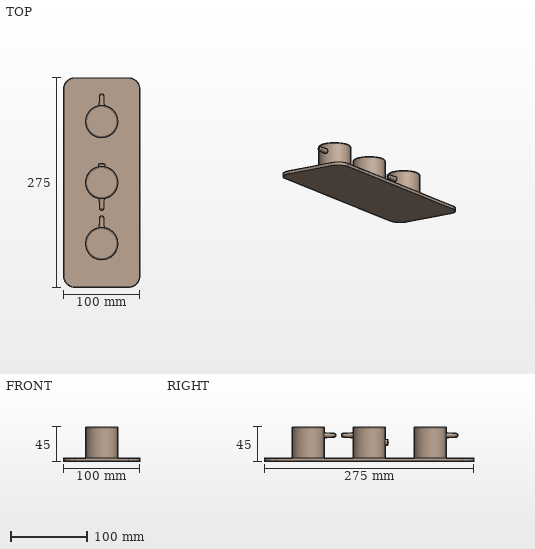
import cadquery as cq

PLATE_WIDTH = 100.0
PLATE_LENGTH = 275.0
PLATE_THICKNESS = 4.0
PLATE_CORNER_RADIUS = 15.0

TOTAL_HEIGHT = 45.0
KNOB_RADIUS = 21.2
KNOB_EDGE_FILLET = 1.5
KNOB_PITCH = 80.0

LEVER_HEIGHT = 34.0
LEVER_BASE_RADIUS = 3.5
LEVER_END_RADIUS = 2.8
LEVER_TIP_RADIUS = 0.8
LEVER_NOSE_RADIUS = 2.8
LEVER_SHOULDER_REACH = 34.0
LEVER_REACH = 36.3

BUTTON_HEIGHT = 24.8
BUTTON_RADIUS = 4.0
BUTTON_RIM_REACH = 24.2
BUTTON_REACH = 25.0

ROOT_REACH = KNOB_RADIUS - 2.8


def make_plate():
    """Flat plate with rounded corners."""
    return (
        cq.Workplane("XY")
        .rect(PLATE_WIDTH, PLATE_LENGTH)
        .extrude(PLATE_THICKNESS)
        .edges("|Z")
        .fillet(PLATE_CORNER_RADIUS)
    )


def make_lever():
    """Lever pointing along +Y, turned about its own axis."""
    return (
        cq.Workplane("XY")
        .moveTo(0, ROOT_REACH)
        .lineTo(LEVER_BASE_RADIUS, ROOT_REACH)
        .lineTo(LEVER_END_RADIUS, LEVER_SHOULDER_REACH)
        .radiusArc((LEVER_TIP_RADIUS, LEVER_REACH), -LEVER_NOSE_RADIUS)
        .lineTo(0, LEVER_REACH)
        .close()
        .revolve(360, (0, 0, 0), (0, 1, 0))
        .translate((0, 0, LEVER_HEIGHT))
    )


def make_button():
    """Round button pointing along +Y with a slightly domed face."""
    face_depth = BUTTON_REACH - BUTTON_RIM_REACH
    dome_radius = (BUTTON_RADIUS**2 + face_depth**2) / (2 * face_depth)
    return (
        cq.Workplane("XY")
        .moveTo(0, ROOT_REACH)
        .lineTo(BUTTON_RADIUS, ROOT_REACH)
        .lineTo(BUTTON_RADIUS, BUTTON_RIM_REACH)
        .radiusArc((0, BUTTON_REACH), -dome_radius)
        .close()
        .revolve(360, (0, 0, 0), (0, 1, 0))
        .translate((0, 0, BUTTON_HEIGHT))
    )


def make_knob():
    """Round knob with its lever pointing along +Y."""
    barrel = (
        cq.Workplane("XY", origin=(0, 0, PLATE_THICKNESS))
        .circle(KNOB_RADIUS)
        .extrude(TOTAL_HEIGHT - PLATE_THICKNESS)
        .faces(">Z")
        .edges()
        .fillet(KNOB_EDGE_FILLET)
    )
    return barrel.union(make_lever())


def make_middle_knob():
    """Knob turned half round, with a stop button on the +Y side."""
    return make_knob().rotate((0, 0, 0), (0, 0, 1), 180).union(make_button())


plate = make_plate()
outer_knobs = [make_knob().translate((0, side * KNOB_PITCH, 0)) for side in (-1, 1)]
middle_knob = make_middle_knob()

result = cq.Compound.makeCompound(
    [plate.val(), middle_knob.val(), *[knob.val() for knob in outer_knobs]]
)